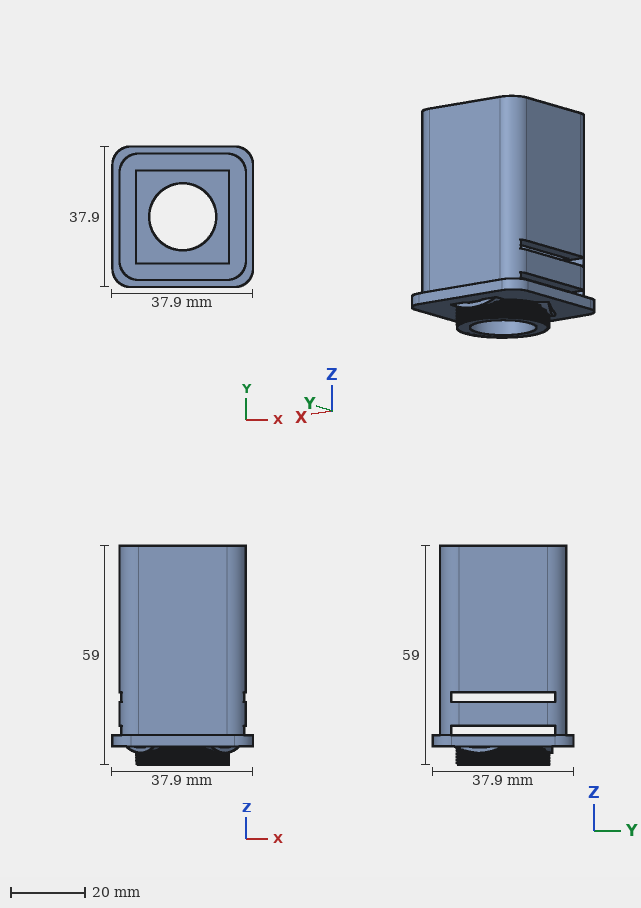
import cadquery as cq

total_height = 59.0
neck_length = 5.0
flange_side = 37.9
flange_corner_radius = 5.0
flange_thickness = 3.0
tube_side = 34.0
tube_corner_radius = 5.1
pocket_side = 25.0
bore_diameter = 18.0

slot_width = flange_side - 2 * flange_corner_radius
slot_height = 2.5
slot_spacing = 9.0
slot_count = 2

thread_diameter = 25.0
thread_pitch = 0.8
thread_depth = 0.4
thread_crest_flat = 0.1
thread_root_gap = 0.1
thread_overlap = 0.2

full_turn = 360.0
lobe_count = 3
first_lobe_angle = 90.0
lobe_reach = 13.2
lobe_drop = 1.75
lobe_half_width = 7.6
lobe_window_drop = 0.35
lobe_window_half_width = 3.3

flange_top = neck_length + flange_thickness
tube_height = total_height - flange_top
root_radius = thread_diameter / 2 - thread_depth


def rounded_block(side, corner_radius, height, base_z):
    """Square block with rounded vertical corners."""
    block = cq.Workplane("XY").workplane(offset=base_z).rect(side, side).extrude(height)
    return block.edges("|Z").fillet(corner_radius)


def make_housing():
    """Flange and square tube; the flange closes the bottom of the pocket."""
    flange = rounded_block(flange_side, flange_corner_radius, flange_thickness, neck_length)
    tube = rounded_block(tube_side, tube_corner_radius, tube_height, flange_top)
    pocket = (
        cq.Workplane("XY")
        .workplane(offset=flange_top)
        .rect(pocket_side, pocket_side)
        .extrude(tube_height)
    )
    return flange.union(tube).cut(pocket)


def cut_slots(body):
    """Cut the cross slots, the lowest one flush with the top of the flange."""
    for index in range(slot_count):
        slot_bottom = flange_top + index * slot_spacing
        slot = (
            cq.Workplane("XY")
            .workplane(offset=slot_bottom)
            .rect(tube_side, slot_width)
            .extrude(slot_height)
        )
        body = body.cut(slot)
    return body


def make_neck():
    """Cylindrical neck with a helical ridge, trimmed flat at both ends."""
    core = cq.Workplane("XY").circle(root_radius).extrude(neck_length)
    helix_length = neck_length + 2 * thread_pitch
    helix = cq.Wire.makeHelix(thread_pitch, helix_length, root_radius)
    inner_radius = root_radius - thread_overlap
    crest_radius = thread_diameter / 2
    root_half = (thread_pitch - thread_root_gap) / 2
    crest_half = thread_crest_flat / 2
    ridge = (
        cq.Workplane("XZ")
        .moveTo(inner_radius, -root_half)
        .lineTo(crest_radius, -crest_half)
        .lineTo(crest_radius, crest_half)
        .lineTo(inner_radius, root_half)
        .close()
        .sweep(cq.Workplane(obj=helix), isFrenet=True)
        .translate((0, 0, -thread_pitch))
    )
    envelope = cq.Workplane("XY").circle(flange_side / 2).extrude(neck_length)
    return core.union(ridge.intersect(envelope))


def disc_segment(half_width, drop):
    """Arched segment below the flange, extruded outward along X from the part axis."""
    return (
        cq.Workplane("YZ")
        .moveTo(-half_width, neck_length)
        .threePointArc((0, neck_length - drop), (half_width, neck_length))
        .close()
        .extrude(lobe_reach)
    )


def make_lobe(angle):
    """Lobe hanging from the flange, with its flat outer face turned to the given angle."""
    lobe = disc_segment(lobe_half_width, lobe_drop)
    window = disc_segment(lobe_window_half_width, lobe_window_drop)
    return lobe.cut(window).rotate((0, 0, 0), (0, 0, 1), angle)


result = cut_slots(make_housing()).union(make_neck())
for lobe_index in range(lobe_count):
    result = result.union(make_lobe(first_lobe_angle + lobe_index * full_turn / lobe_count))
bore = cq.Workplane("XY").circle(bore_diameter / 2).extrude(flange_top)
result = result.cut(bore)